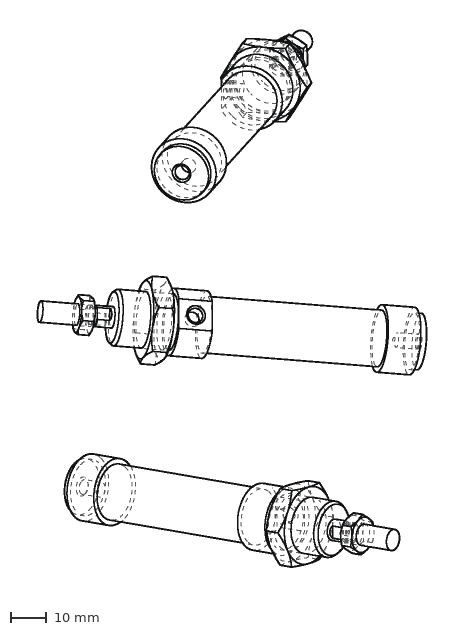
import cadquery as cq
import math


total_length = 110.0
tube_diameter = 16.0
housing_length = 89.1
nose_face_diameter = 14.5
nose_chamfer_length = 1.0
collar_diameter = 19.0
rear_collar_start = 2.1
rear_collar_length = 9.5
front_collar_start = 62.4
front_collar_length = 9.7
port_flat_offset = 8.5
port_center_y = 67.1
hole_mouth_diameter = 5.4
hole_diameter = 4.2
mouth_chamfer = (hole_mouth_diameter - hole_diameter) / 2
port_depth = 4.4
rear_hole_depth = 6.6
drill_tip_angle = 118.0

rod_diameter = 6.0
neck_diameter = 5.0
neck_start = 94.0
wrench_flat_width = 5.0
wrench_flat_start = 90.5

mounting_nut_width = 22.0
mounting_nut_length = 6.0
mounting_nut_start = 74.0

lock_nut_width = 10.0
lock_nut_length = 4.0
lock_nut_start = 95.4
lock_nut_turn = 33.0

nut_chamfer_angle = 30.0


def revolve_about_axis(outline):
    """Solid of revolution from (radius, y) points."""
    return cq.Workplane("XY").polyline(outline).close().revolve(360, (0, 0, 0), (0, 1, 0))


def cylinder(diameter, start, length):
    """Cylinder on the Y axis, from y = start towards +Y."""
    return cq.Workplane("XZ", origin=(0, start, 0)).circle(diameter / 2).extrude(-length)


def make_port_cutter():
    """Flat-bottomed port entering along +X, with a chamfered mouth."""
    hole_radius = hole_diameter / 2
    mouth_radius = hole_mouth_diameter / 2
    outline = [
        (0, 0),
        (0, mouth_radius),
        (mouth_chamfer, hole_radius),
        (port_depth, hole_radius),
        (port_depth, 0),
    ]
    port_center = (-port_flat_offset, port_center_y, 0)
    return cq.Workplane("XY", origin=port_center).polyline(outline).close().revolve(360, (0, 0, 0), (1, 0, 0))


def make_rear_hole_cutter():
    """Blind hole in the rear face with a chamfered mouth and a drill-point bottom."""
    hole_radius = hole_diameter / 2
    tip_length = hole_radius / math.tan(math.radians(drill_tip_angle / 2))
    return revolve_about_axis([
        (0, 0),
        (hole_mouth_diameter / 2, 0),
        (hole_radius, mouth_chamfer),
        (hole_radius, rear_hole_depth),
        (0, rear_hole_depth + tip_length),
    ])


def make_housing():
    """Tube with a chamfered nose, two collars, a side port and a rear hole."""
    tube_radius = tube_diameter / 2
    tube = revolve_about_axis([
        (0, 0),
        (tube_radius, 0),
        (tube_radius, housing_length - nose_chamfer_length),
        (nose_face_diameter / 2, housing_length),
        (0, housing_length),
    ])
    rear_collar = cylinder(collar_diameter, rear_collar_start, rear_collar_length)
    port_side_waste = cq.Workplane("XY").box(
        collar_diameter, front_collar_length, collar_diameter, centered=(True, False, True)
    ).translate((-port_flat_offset - collar_diameter / 2, front_collar_start, 0))
    front_collar = cylinder(collar_diameter, front_collar_start, front_collar_length).cut(port_side_waste)
    body = tube.union(rear_collar).union(front_collar)
    return body.cut(make_port_cutter()).cut(make_rear_hole_cutter())


def make_rod():
    """Rod standing on the nose face, with two wrench flats and a relieved neck."""
    shank = cylinder(rod_diameter, housing_length, neck_start - housing_length)
    flat_half = wrench_flat_width / 2
    rod_radius = rod_diameter / 2
    runout = rod_radius - flat_half
    flat_waste = (
        cq.Workplane("XY")
        .polyline([
            (flat_half, neck_start),
            (flat_half, wrench_flat_start),
            (rod_radius, wrench_flat_start - runout),
            (rod_radius, neck_start),
        ])
        .close()
        .extrude(rod_radius, both=True)
    )
    shank = shank.cut(flat_waste).cut(flat_waste.mirror("YZ"))
    neck = cylinder(neck_diameter, neck_start, lock_nut_start - neck_start)
    stud = cylinder(rod_diameter, lock_nut_start, total_length - lock_nut_start)
    return shank.union(neck).union(stud)


def make_nut(width, length, start, bore_diameter, turn=0.0):
    """Hexagon nut on the Y axis with both faces chamfered down to the circle inside the flats."""
    corner_radius = width / 2 / math.cos(math.pi / 6)
    face_radius = width / 2
    chamfer_length = (corner_radius - face_radius) * math.tan(math.radians(nut_chamfer_angle))
    hexagon = cq.Workplane("XZ").polygon(6, 2 * corner_radius).extrude(-length)
    envelope = revolve_about_axis([
        (0, 0),
        (face_radius, 0),
        (corner_radius, chamfer_length),
        (corner_radius, length - chamfer_length),
        (face_radius, length),
        (0, length),
    ])
    nut = hexagon.intersect(envelope).cut(cylinder(bore_diameter, 0, length))
    return nut.rotate((0, 0, 0), (0, 1, 0), -turn).translate((0, start, 0))


housing = make_housing()
rod = make_rod()
mounting_nut = make_nut(mounting_nut_width, mounting_nut_length, mounting_nut_start, tube_diameter)
lock_nut = make_nut(lock_nut_width, lock_nut_length, lock_nut_start, rod_diameter, lock_nut_turn)

result = cq.Compound.makeCompound([housing.val(), rod.val(), mounting_nut.val(), lock_nut.val()])